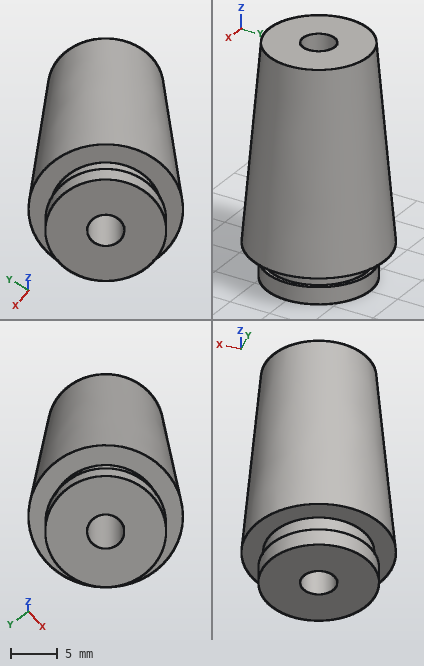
import cadquery as cq

total_height = 28.5
bore_diameter = 4.0

collar_diameter = 13.0
collar_height = 2.1
neck_diameter = 12.0
neck_height = 2.05

body_base_diameter = 16.65
body_top_diameter = 12.45
body_base_z = collar_height + neck_height
body_height = total_height - body_base_z


def make_collar():
    return cq.Workplane("XY").circle(collar_diameter / 2).extrude(collar_height)


def make_neck():
    return cq.Workplane("XY").circle(neck_diameter / 2).extrude(body_base_z)


def make_body():
    """Truncated cone, widest where it meets the neck."""
    return (
        cq.Workplane("XY", origin=(0, 0, body_base_z))
        .circle(body_base_diameter / 2)
        .workplane(offset=body_height)
        .circle(body_top_diameter / 2)
        .loft(ruled=True)
    )


def make_bore():
    """Straight hole through the full height."""
    return cq.Workplane("XY").circle(bore_diameter / 2).extrude(total_height)


result = make_collar().union(make_neck()).union(make_body()).cut(make_bore())